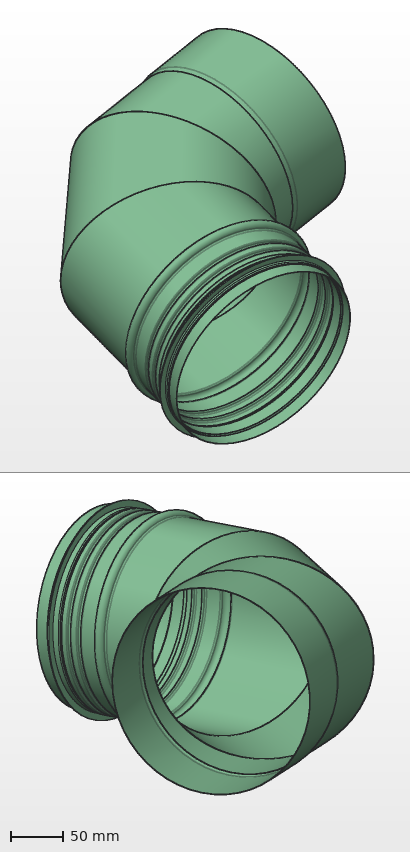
import cadquery as cq
import math


wall = 0.7
pipe_r = 101.0
socket_r = 102.5

bend_angle = 75.0
joint_angle = bend_angle / 2
half_joint_angle = joint_angle / 2

inlet_length = 164.12
middle_length = 94.13
outlet_length = 134.6
socket_length = 70.5
socket_taper = 5.0

bead_position = 76.6
bead_r = 5.8
bead_fillet = 1.4
groove_positions = (38.3, 50.4)
groove_width = 6.0
groove_floor_r = 197.0 / 2
seat_start = 12.7
seat_floor_start = 14.2
seat_floor_end = 27.0
seat_end = 29.8
seat_floor_r = pipe_r - 1.3

band_r = pipe_r - 0.5
band_front = 14.4
band_back = 25.7
lip_r = 214.6 / 2
lip_front = 18.1
lip_back = 19.4
foot_front = 16.5
foot_r = band_r + 0.9

overshoot = 60.0
trim_size = 1000.0


def axis_direction(turn):
    """Unit vector in the XY plane that leaves -X and turns clockwise by the given angle."""
    angle = math.radians(turn)
    return cq.Vector(-math.cos(angle), math.sin(angle), 0)


inlet_axis = axis_direction(0)
middle_axis = axis_direction(joint_angle)
outlet_axis = axis_direction(bend_angle)

first_joint = cq.Vector(0, 0, 0)
second_joint = first_joint + middle_axis * middle_length
inlet_end = first_joint - inlet_axis * inlet_length
outlet_end = second_joint + outlet_axis * outlet_length


def revolve_about(outline, start, direction):
    """Revolve an outline of (distance along the axis, radius) points about an axis from start."""
    axis_plane = cq.Plane(origin=start, xDir=direction, normal=(0, 0, 1))
    spun = outline.close().revolve(360, (0, 0), (1, 0))
    return cq.Workplane(spun.val().moved(cq.Location(axis_plane)))


def ring(points, start, direction):
    return revolve_about(cq.Workplane("XY").polyline(points), start, direction)


def tube(first, last, start, direction):
    """Straight pipe wall between two distances along an axis."""
    inner_r = pipe_r - wall
    points = [(first, inner_r), (first, pipe_r), (last, pipe_r), (last, inner_r)]
    return ring(points, start, direction)


def beyond_mitre(joint, turn):
    """Block that fills everything past the mitre plane at a joint."""
    mitre_plane = cq.Plane(origin=joint, xDir=(0, 0, 1), normal=axis_direction(turn))
    return cq.Workplane(mitre_plane).rect(trim_size, trim_size).extrude(trim_size)


past_first_mitre = beyond_mitre(first_joint, half_joint_angle)
past_second_mitre = beyond_mitre(second_joint, joint_angle + half_joint_angle)


def add_groove(outline, position, surface_r, floor_r):
    """Rolled groove: rounded shoulders that flow into a rounded floor."""
    quarter = groove_width / 4
    middle_r = (surface_r + floor_r) / 2
    outline = outline.lineTo(position - 2 * quarter, surface_r)
    outline = outline.tangentArcPoint((position - quarter, middle_r), relative=False)
    outline = outline.tangentArcPoint((position + quarter, middle_r), relative=False)
    return outline.tangentArcPoint((position + 2 * quarter, surface_r), relative=False)


def add_bead(outline, inset):
    """Half-round bead with filleted feet; the inset keeps the wall thickness even."""
    foot_height = bead_fillet
    foot_to_bead = bead_r + bead_fillet
    half_width = math.sqrt(foot_to_bead**2 - foot_height**2)
    tangent_along = (bead_r - inset) * half_width / foot_to_bead
    tangent_r = pipe_r + (bead_r - inset) * foot_height / foot_to_bead
    outline = outline.lineTo(bead_position - half_width, pipe_r - inset)
    outline = outline.tangentArcPoint((bead_position - tangent_along, tangent_r), relative=False)
    outline = outline.tangentArcPoint((bead_position + tangent_along, tangent_r), relative=False)
    return outline.tangentArcPoint((bead_position + half_width, pipe_r - inset), relative=False)


def inlet_blank(inset):
    """Solid of the inlet gore, every surface set in from the outside by the inset."""
    surface_r = pipe_r - inset
    floor_r = seat_floor_r - inset
    outline = cq.Workplane("XY").lineTo(0, surface_r).lineTo(seat_start, surface_r)
    outline = outline.lineTo(seat_floor_start, floor_r).lineTo(seat_floor_end, floor_r)
    outline = outline.lineTo(seat_end, surface_r)
    for position in groove_positions:
        outline = add_groove(outline, position, surface_r, groove_floor_r - inset)
    outline = add_bead(outline, inset)
    blank_end = inlet_length + overshoot
    outline = outline.lineTo(blank_end, surface_r).lineTo(blank_end, 0)
    return revolve_about(outline, inlet_end, inlet_axis)


def make_inlet_gore():
    return inlet_blank(0).cut(inlet_blank(wall)).cut(past_first_mitre)


def make_middle_gore():
    blank = tube(-overshoot, middle_length + overshoot, first_joint, middle_axis)
    return blank.intersect(past_first_mitre).cut(past_second_mitre)


def make_outlet_gore():
    blank = tube(socket_length + socket_taper, outlet_length + overshoot, outlet_end, -outlet_axis)
    return blank.intersect(past_second_mitre)


def make_socket():
    """Wider sleeve that tapers down to meet the outlet gore end to end."""
    taper_end = socket_length + socket_taper
    outer_side = [(0, socket_r), (socket_length, socket_r), (taper_end, pipe_r)]
    inner_side = [(along, r - wall) for along, r in reversed(outer_side)]
    return ring(outer_side + inner_side, outlet_end, -outlet_axis)


def make_gasket():
    points = [
        (seat_floor_start, seat_floor_r),
        (band_front, band_r),
        (foot_front, band_r),
        (lip_front, foot_r),
        (lip_front, lip_r),
        (lip_back, lip_r),
        (lip_back, band_r),
        (band_back, band_r),
        (seat_floor_end, seat_floor_r),
    ]
    return ring(points, inlet_end, inlet_axis)


inlet_gore = make_inlet_gore()
middle_gore = make_middle_gore()
outlet_gore = make_outlet_gore()
socket = make_socket()
gasket = make_gasket()

result = cq.Compound.makeCompound([
    inlet_gore.val(),
    middle_gore.val(),
    outlet_gore.val(),
    socket.val(),
    gasket.val(),
])